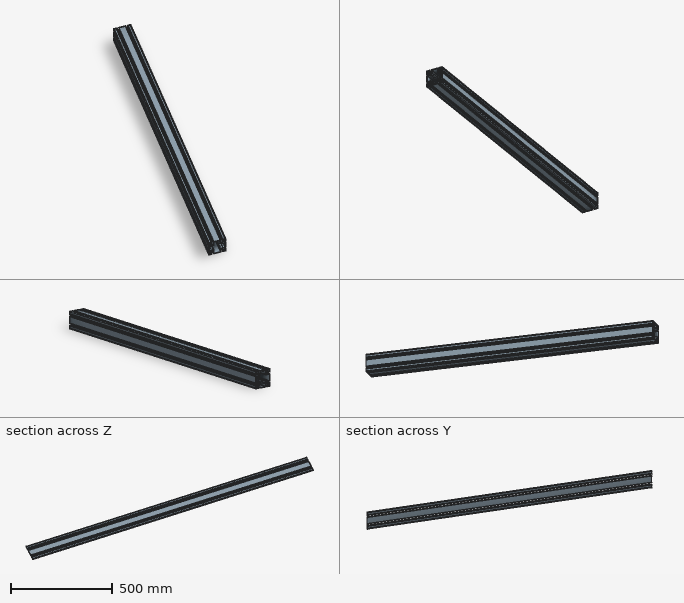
import cadquery as cq

length = 1500
side = 90
half = side / 2
corner_radius = 2.5

slot_offset = side / 4
mouth_width = 8.5
throat_width = 9.0
cavity_width = 10.4
lip_thickness = 4.4
slot_depth = 15.0

outer_wall = 4.2
slot_web = 1.2
hollow_half_width = half - slot_offset - cavity_width / 2 - slot_web
core_radius = 11.7 / 2

bore_diameter = 6.0
corner_wall = 4.2
corner_hollow_size = 9.2


def bar_at(y, z, width):
    """Square bar over the full length, centred on (y, z)."""
    return cq.Workplane("YZ").center(y, z).rect(width, width).extrude(length)


def turned(shape, quarter):
    """The shape turned about the bar axis by a number of quarter turns."""
    return shape.rotate((0, 0, 0), (1, 0, 0), 90 * quarter)


def cross_hollow():
    """Square hollow minus one round-edged block in each corner, which leaves a cross."""
    hollow = bar_at(0, 0, side - 2 * outer_wall)
    block_size = half
    block_centre = hollow_half_width + block_size / 2
    block = bar_at(block_centre, block_centre, block_size).edges("|X").fillet(core_radius)
    for quarter in range(4):
        hollow = hollow.cut(turned(block, quarter))
    return hollow


def slot():
    """One T-slot, open at the +Z face and offset towards +Y."""
    right_side = [
        (mouth_width / 2, half),
        (throat_width / 2, half - lip_thickness),
        (cavity_width / 2, half - lip_thickness),
        (cavity_width / 2, half - slot_depth),
    ]
    left_side = [(-y, z) for y, z in reversed(right_side)]
    outline = [(slot_offset + y, z) for y, z in right_side + left_side]
    return cq.Workplane("YZ").polyline(outline).close().extrude(length)


def core_bore():
    """Round bore through the core of the corner block at +Y, +Z."""
    return cq.Workplane("YZ").center(slot_offset, slot_offset).circle(bore_diameter / 2).extrude(length)


def corner_hollow():
    """Square hollow behind the outer corner at +Y, +Z."""
    centre = half - corner_wall - corner_hollow_size / 2
    return bar_at(centre, centre, corner_hollow_size)


bar = bar_at(0, 0, side).edges("|X").fillet(corner_radius)
bar = bar.cut(cross_hollow())

quarter_cutters = [slot(), slot().mirror("XZ"), core_bore(), corner_hollow()]
for quarter in range(4):
    for cutter in quarter_cutters:
        bar = bar.cut(turned(cutter, quarter))

result = bar